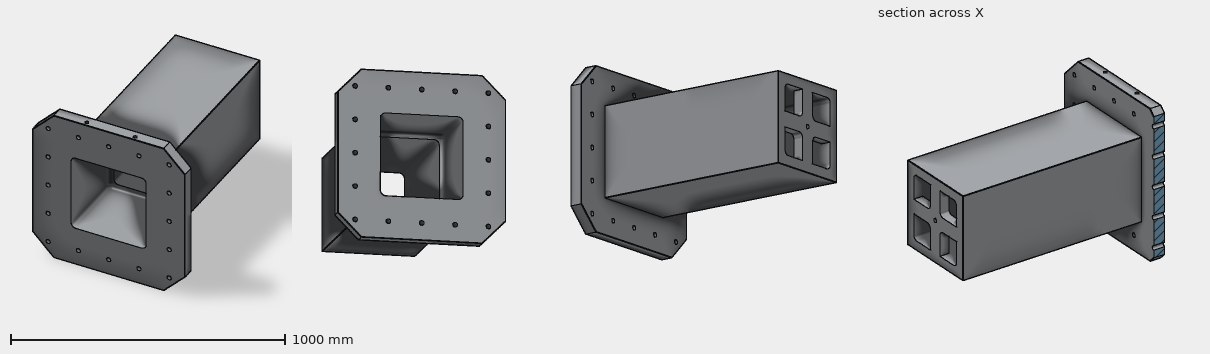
import cadquery as cq
import math

TOTAL_LENGTH = 850.0
FLANGE_SIZE = 630.0
FLANGE_THICKNESS = 50.0
FLANGE_CORNER_CUT = 88.0
TUBE_SIZE = 350.0
WALL = 20.0
EDGE_CHAMFER = 2.0

CAVITY_SIZE = TUBE_SIZE - 2 * WALL
CAVITY_DEPTH = 295.0
INNER_RADIUS = 20.0
PASSAGE_SIZE = CAVITY_SIZE - 2 * INNER_RADIUS
CROSS_BAR_WIDTH = 60.0
CROSS_THICKNESS = (TUBE_SIZE - PASSAGE_SIZE) / 2

BOLT_DIAMETER = 17.0
BOLT_PITCH = 125.0
BOLTS_PER_SIDE = 5
CENTER_HOLE_DIAMETER = 16.0
EDGE_HOLE_DIAMETER = 14.2
EDGE_HOLE_SPACING = 200.0
EDGE_HOLE_DEPTH = 30.0
EDGE_HOLE_Y = 18.0
DRILL_POINT_ANGLE = 100.0


def square_block(size, y_start, y_end):
    """Square block centred on the Y axis between two Y positions."""
    length = y_end - y_start
    return cq.Workplane("XY").box(size, length, size).translate((0, y_start + length / 2, 0))


def make_flange():
    flange = square_block(FLANGE_SIZE, 0, FLANGE_THICKNESS)
    flange = flange.edges("|Y").chamfer(FLANGE_CORNER_CUT)
    return flange.faces("<Y or >Y").edges().chamfer(EDGE_CHAMFER)


def make_tube():
    tube = square_block(TUBE_SIZE, FLANGE_THICKNESS / 2, TOTAL_LENGTH)
    return tube.edges("|Y or >Y").chamfer(EDGE_CHAMFER)


def make_cavity():
    """Open at the flange face, rounded along its corners and around its floor."""
    cavity = square_block(CAVITY_SIZE, 0, CAVITY_DEPTH)
    return cavity.edges("|Y or >Y").fillet(INNER_RADIUS)


def make_passage():
    """Opening with rounded corners, from the cavity floor to the far end."""
    passage = square_block(PASSAGE_SIZE, CAVITY_DEPTH - INNER_RADIUS, TOTAL_LENGTH)
    return passage.edges("|Y").fillet(INNER_RADIUS)


def make_cross():
    """Two crossing bars with rounded inside corners and a central hole."""
    bar_length = PASSAGE_SIZE + INNER_RADIUS
    workplane = cq.Workplane("XZ", origin=(0, TOTAL_LENGTH, 0))
    upright = workplane.rect(CROSS_BAR_WIDTH, bar_length).extrude(CROSS_THICKNESS)
    crossbar = workplane.rect(bar_length, CROSS_BAR_WIDTH).extrude(CROSS_THICKNESS)
    inside_corners = cq.selectors.BoxSelector(
        (-CROSS_BAR_WIDTH, 0, -CROSS_BAR_WIDTH),
        (CROSS_BAR_WIDTH, TOTAL_LENGTH, CROSS_BAR_WIDTH),
    )
    cross = upright.union(crossbar).edges("|Y").edges(inside_corners).fillet(INNER_RADIUS)
    center_hole = workplane.circle(CENTER_HOLE_DIAMETER / 2).extrude(CROSS_THICKNESS)
    return cross.cut(center_hole)


def make_bolt_holes():
    """Square ring of through holes around the flange."""
    last = BOLTS_PER_SIDE - 1
    middle = last / 2
    bolt_points = [
        ((column - middle) * BOLT_PITCH, (row - middle) * BOLT_PITCH)
        for column in range(BOLTS_PER_SIDE)
        for row in range(BOLTS_PER_SIDE)
        if column in (0, last) or row in (0, last)
    ]
    return (
        cq.Workplane("XZ")
        .pushPoints(bolt_points)
        .circle(BOLT_DIAMETER / 2)
        .extrude(-FLANGE_THICKNESS)
    )


def make_edge_holes():
    """Pair of drilled blind holes with conical tips in the top edge of the flange."""
    radius = EDGE_HOLE_DIAMETER / 2
    tip_depth = radius / math.tan(math.radians(DRILL_POINT_ANGLE / 2))
    drill = (
        cq.Workplane("XZ")
        .polyline([
            (0, 0),
            (-radius, 0),
            (-radius, -EDGE_HOLE_DEPTH),
            (0, -EDGE_HOLE_DEPTH - tip_depth),
        ])
        .close()
        .revolve(360, (0, 0, 0), (0, 1, 0))
    )
    hole_x = EDGE_HOLE_SPACING / 2
    left_hole = drill.translate((-hole_x, EDGE_HOLE_Y, FLANGE_SIZE / 2))
    right_hole = drill.translate((hole_x, EDGE_HOLE_Y, FLANGE_SIZE / 2))
    return left_hole.union(right_hole)


body = make_flange().union(make_tube())
body = body.cut(make_cavity())
body = body.cut(make_passage())
body = body.union(make_cross())
body = body.cut(make_bolt_holes())
result = body.cut(make_edge_holes())